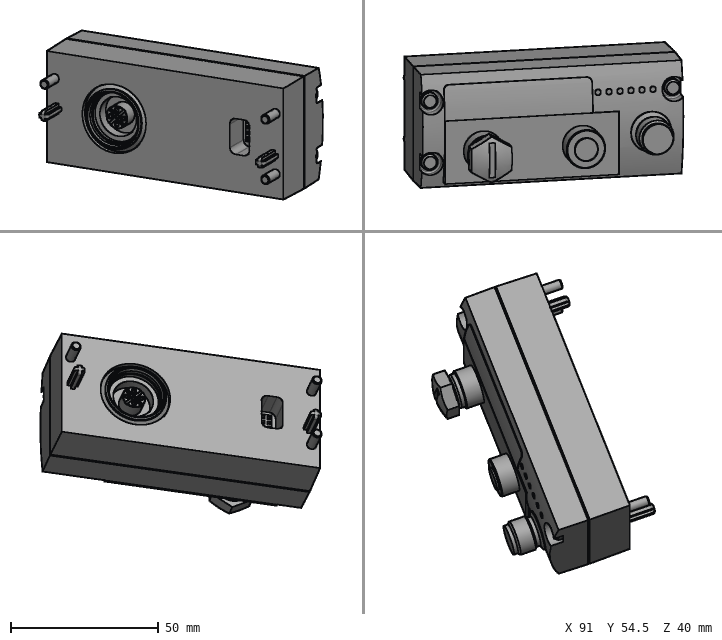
import cadquery as cq
import math

LENGTH = 91.0
HEIGHT = 40.0
MID_Z = HEIGHT / 2
DRAFT_INSET = 0.23
BASE_DEPTH = 14.65
JOINT_GAP = 0.55
JOINT_INSET = 0.5
COVER_START = BASE_DEPTH + JOINT_GAP
COVER_EDGE_Y = 25.8
COVER_CROWN_Y = 29.0

SCREW_EDGE = 3.3
SCREW_UPPER_Z = 30.5
SCREW_LOWER_Z = 9.0
SCREW_PLACES = [
    (SCREW_EDGE, SCREW_UPPER_Z),
    (LENGTH - SCREW_EDGE, SCREW_UPPER_Z),
    (LENGTH - SCREW_EDGE, SCREW_LOWER_Z),
]
SHANK_D = 3.3
SHANK_REACH = 7.8
SHANK_CHAMFER = 0.4
HEAD_D = 5.6
HEAD_RIM = 1.55
HEAD_HEIGHT = 2.5
HEAD_TOP_D = 4.4
COUNTERBORE_D = 8.3
COUNTERBORE_Y = 24.1
COUNTERBORE_FILLET = 0.55

KEY_PLACES = [(4.0, 19.9), (86.8, 15.5)]
KEY_D = 3.8
KEY_ARM = 1.5
KEY_REACH = 10.1
KEY_TIP_FILLET = 1.1

PORT_X, PORT_Z = 26.0, 19.5
GROOVE_R = 12.2
GROOVE_DEPTH = 1.8
LIP_ROOT_R = 10.65
LIP_TIP_R = 10.0
LIP_CHAMFER = 0.4
LIP_TIP_FLAT = 0.4
LIP_HEIGHT = 1.1
LIP_MOUTH_R = 9.3
MOUTH_DEPTH = 1.4
SEAT_R = 8.8
SEAT_DEPTH = 2.9
PORT_BORE_D = 14.0
PORT_BORE_DEPTH = 7.3
INSERT_D = 8.0
INSERT_DEPTH = 1.8
CONTACT_D = 1.0
CONTACT_SINK_D = 1.6
CONTACT_SINK_DEPTH = 0.3
CONTACT_DEPTH = 2.7
CONTACT_PITCH_R = 2.55
INSERT_SLOT_W = 0.9
INSERT_SLOT_DEPTH = 0.5
INSERT_CENTRE_W = 2.55
INSERT_CHAMFER = 0.2

POCKET_X = 74.0
POCKET_W, POCKET_H = 7.5, 12.7
POCKET_CORNER = 2.2
POCKET_DEPTH = 10.0
HEADER_W, HEADER_H = 4.0, 8.2
HEADER_TALL = 1.8
HEADER_COLUMNS, HEADER_ROWS = 2, 4
HEADER_PITCH = 2.0
HEADER_SOCKET = 1.0
HEADER_SOCKET_DEPTH = 1.4

PAD_LEFT, PAD_RIGHT = 22.7, 83.2
PAD_BOTTOM, PAD_TOP = 2.0, 24.0
PAD_Y = 29.3
PAD_STEP = 0.3
PAD_STEP_Y = 28.4
LABEL_LEFT = 31.7
LABEL_TOP = 36.1
LABEL_THICKNESS = 0.3
LABEL_CORNER = 1.8
LED_COUNT = 6
LED_FIRST_X = 10.65
LED_PITCH = 3.8
LED_Z = 30.85
LED_D = 2.0
LED_PROUD = 0.2

PLUG_X, PLUG_Z = 11.5, 16.3
PLUG_FLANGE_D = 14.0
PLUG_BODY_D = 10.5
PLUG_COLLAR_D = 12.0
PLUG_FLANGE_Y = 29.3
PLUG_NECK_Y = 30.0
PLUG_COLLAR_LOW_Y = 31.5
PLUG_COLLAR_START_Y = 32.1
PLUG_COLLAR_END_Y = 37.5
PLUG_COLLAR_HIGH_Y = 38.2
PLUG_TOP_Y = 39.7

BOSS_D = 13.5
BOSS_Y = 35.7
BOSS_CHAMFER = 0.3
BOSS_Z = 13.1
SOCKET_X = 35.6
SOCKET_FACE_Y = 36.4

CAP_X = 70.0
CAP_THREAD_D = 12.0
CAP_NECK_D = 11.3
CAP_THREAD_Y = 37.1
CAP_TAPER_Y = 37.9
HEX_START_Y = 38.4
HEX_FLATS = 14.0
HEX_CORNERS = HEX_FLATS / math.cos(math.radians(30))
HEX_EDGE_Y = 42.6
CAP_TOP_Y = 44.4
CAP_SLOT_W = 2.0
CAP_SLOT_DEPTH = 1.0


def arc_radius(half_chord, rise):
    """Radius of an arc from half its chord and its rise."""
    return (half_chord ** 2 + rise ** 2) / (2 * rise)


CROWN_R = arc_radius(MID_Z - DRAFT_INSET, COVER_CROWN_Y - COVER_EDGE_Y)


def crown_y(z):
    """Height of the crowned back at a given Z."""
    return COVER_CROWN_Y - CROWN_R + math.sqrt(CROWN_R ** 2 - (z - MID_Z) ** 2)


def plane_y(y, x, z):
    """Plane looking along +Y: local x is X, local y is -Z."""
    return cq.Plane(origin=(x, y, z), xDir=(1, 0, 0), normal=(0, 1, 0))


def rod(x, z, diameter, start, end):
    """Cylinder along Y."""
    return cq.Workplane(plane_y(start, x, z)).circle(diameter / 2).extrude(end - start)


def block(x0, x1, y0, y1, z0, z1):
    return cq.Workplane("XY").box(x1 - x0, y1 - y0, z1 - z0, centered=False).translate((x0, y0, z0))


def turned(x, z, profile):
    """Revolve (radius, y) points around a Y axis through (x, z)."""
    return cq.Workplane("XY").polyline(profile).close().revolve(360, (0, 0), (0, 1)).translate((x, 0, z))


def drafted_block(wide_y, narrow_y):
    """Housing block that narrows by the draft inset from wide_y to narrow_y."""
    inset = 2 * DRAFT_INSET
    return (
        cq.Workplane(plane_y(wide_y, LENGTH / 2, MID_Z))
        .rect(LENGTH, HEIGHT)
        .workplane(offset=narrow_y - wide_y)
        .rect(LENGTH - inset, HEIGHT - inset)
        .loft(combine=True)
    )


def make_screw(x, z):
    shank_r = SHANK_D / 2
    return turned(x, z, [
        (0, -SHANK_REACH),
        (shank_r - SHANK_CHAMFER, -SHANK_REACH),
        (shank_r, SHANK_CHAMFER - SHANK_REACH),
        (shank_r, COUNTERBORE_Y),
        (HEAD_D / 2, COUNTERBORE_Y),
        (HEAD_D / 2, COUNTERBORE_Y + HEAD_RIM),
        (HEAD_TOP_D / 2, COUNTERBORE_Y + HEAD_HEIGHT),
        (0, COUNTERBORE_Y + HEAD_HEIGHT),
    ])


def make_key(x, z):
    half, arm = KEY_D / 2, KEY_ARM / 2
    key = rod(x, z, KEY_D, -KEY_REACH, 0).faces("<Y").edges().fillet(KEY_TIP_FILLET)
    upright = block(x - arm, x + arm, -KEY_REACH, 0, z - half, z + half)
    level = block(x - half, x + half, -KEY_REACH, 0, z - arm, z + arm)
    return key.intersect(upright.union(level))


def make_port_recess():
    """Ring groove with a tapered inner wall, stepped seat and deep bore."""
    bore_r = PORT_BORE_D / 2
    groove = turned(PORT_X, PORT_Z, [(LIP_ROOT_R, 0), (GROOVE_R, 0), (GROOVE_R, GROOVE_DEPTH)])
    bore = turned(PORT_X, PORT_Z, [
        (0, 0), (LIP_MOUTH_R, 0), (LIP_MOUTH_R, MOUTH_DEPTH), (SEAT_R, MOUTH_DEPTH),
        (SEAT_R, SEAT_DEPTH), (bore_r, SEAT_DEPTH), (bore_r, PORT_BORE_DEPTH), (0, PORT_BORE_DEPTH),
    ])
    return groove.union(bore)


def make_port_lip():
    return turned(PORT_X, PORT_Z, [
        (LIP_MOUTH_R, 0), (LIP_ROOT_R, 0), (LIP_ROOT_R, LIP_CHAMFER - LIP_HEIGHT),
        (LIP_TIP_R, -LIP_HEIGHT), (LIP_TIP_R - LIP_TIP_FLAT, -LIP_HEIGHT),
    ])


def make_contact_hole(x, z, face_y):
    """Countersunk contact socket entering from face_y."""
    sink_r, hole_r = CONTACT_SINK_D / 2, CONTACT_D / 2
    return turned(x, z, [
        (0, face_y), (sink_r, face_y), (hole_r, face_y + CONTACT_SINK_DEPTH),
        (hole_r, face_y + CONTACT_DEPTH), (0, face_y + CONTACT_DEPTH),
    ])


def make_port_insert():
    """Five-contact insert with diagonal slots between the outer contacts."""
    insert = rod(PORT_X, PORT_Z, INSERT_D, INSERT_DEPTH, PORT_BORE_DEPTH)
    insert = insert.faces("<Y").chamfer(INSERT_CHAMFER)
    face = cq.Workplane(plane_y(INSERT_DEPTH, PORT_X, PORT_Z))
    slot = face.rect(INSERT_D, INSERT_SLOT_W).extrude(INSERT_SLOT_DEPTH)
    insert = insert.cut(face.rect(INSERT_CENTRE_W, INSERT_CENTRE_W).extrude(INSERT_SLOT_DEPTH))
    axis_start, axis_end = (PORT_X, 0, PORT_Z), (PORT_X, 1, PORT_Z)
    for angle in (45, 135):
        insert = insert.cut(slot.rotate(axis_start, axis_end, angle))
    insert = insert.cut(make_contact_hole(PORT_X, PORT_Z, INSERT_DEPTH + INSERT_SLOT_DEPTH))
    for quarter in range(4):
        angle = math.radians(90 * quarter)
        x = PORT_X + CONTACT_PITCH_R * math.cos(angle)
        z = PORT_Z + CONTACT_PITCH_R * math.sin(angle)
        insert = insert.cut(make_contact_hole(x, z, INSERT_DEPTH))
    return insert


def make_header_pocket():
    pocket = cq.Workplane(plane_y(0, POCKET_X, MID_Z)).rect(POCKET_W, POCKET_H).extrude(POCKET_DEPTH)
    return pocket.edges("|Y").fillet(POCKET_CORNER)


def make_header():
    face_y = POCKET_DEPTH - HEADER_TALL
    header = cq.Workplane(plane_y(face_y, POCKET_X, MID_Z)).rect(HEADER_W, HEADER_H).extrude(HEADER_TALL)
    sockets = (
        cq.Workplane(plane_y(face_y, POCKET_X, MID_Z))
        .rarray(HEADER_PITCH, HEADER_PITCH, HEADER_COLUMNS, HEADER_ROWS)
        .rect(HEADER_SOCKET, HEADER_SOCKET)
        .extrude(HEADER_SOCKET_DEPTH)
    )
    return header.cut(sockets)


def make_base():
    base = drafted_block(BASE_DEPTH, 0)
    joint = block(JOINT_INSET, LENGTH - JOINT_INSET, BASE_DEPTH, COVER_START,
                  JOINT_INSET, HEIGHT - JOINT_INSET)
    base = base.union(joint)
    base = base.cut(make_port_recess()).union(make_port_lip()).union(make_port_insert())
    base = base.cut(make_header_pocket()).union(make_header())
    for x, z in KEY_PLACES:
        base = base.union(make_key(x, z))
    for x, z in SCREW_PLACES:
        base = base.cut(rod(x, z, SHANK_D, 0, COVER_START))
    return base


def crown_prism(x0, x1, lift):
    """Prism along X under the crowned back, raised by lift."""
    return (
        cq.Workplane("YZ", origin=(x0, 0, 0))
        .moveTo(COVER_START, 0)
        .lineTo(crown_y(0) + lift, 0)
        .threePointArc((COVER_CROWN_Y + lift, MID_Z), (crown_y(HEIGHT) + lift, HEIGHT))
        .lineTo(COVER_START, HEIGHT)
        .close()
        .extrude(x1 - x0)
    )


def make_raised_areas():
    pad = block(PAD_LEFT, PAD_RIGHT, COVER_START, PAD_Y, PAD_BOTTOM, PAD_TOP)
    ledge = block(PAD_LEFT - PAD_STEP, PAD_LEFT, COVER_START, PAD_STEP_Y, PAD_BOTTOM, PAD_TOP)
    label_area = block(LABEL_LEFT, PAD_RIGHT, COVER_START, PAD_Y, PAD_TOP, LABEL_TOP)
    label_area = label_area.faces(">Z").edges("|Y").fillet(LABEL_CORNER)
    return pad.union(ledge).union(crown_prism(LABEL_LEFT, PAD_RIGHT, LABEL_THICKNESS).intersect(label_area))


def make_plug():
    flange_r, body_r, collar_r = PLUG_FLANGE_D / 2, PLUG_BODY_D / 2, PLUG_COLLAR_D / 2
    return turned(PLUG_X, PLUG_Z, [
        (0, COVER_START), (flange_r, COVER_START), (flange_r, PLUG_FLANGE_Y),
        (body_r, PLUG_NECK_Y), (body_r, PLUG_COLLAR_LOW_Y),
        (collar_r, PLUG_COLLAR_START_Y), (collar_r, PLUG_COLLAR_END_Y),
        (body_r, PLUG_COLLAR_HIGH_Y), (body_r, PLUG_TOP_Y), (0, PLUG_TOP_Y),
    ])


def make_socket():
    boss = rod(SOCKET_X, BOSS_Z, BOSS_D, COVER_START, BOSS_Y).faces(">Y").chamfer(BOSS_CHAMFER)
    return boss.union(rod(SOCKET_X, BOSS_Z, INSERT_D, BOSS_Y, SOCKET_FACE_Y))


def dome_drop(radius):
    """Fall of the domed cap below its top at a given radius."""
    dome_r = arc_radius(HEX_CORNERS / 2, CAP_TOP_Y - HEX_EDGE_Y)
    return dome_r - math.sqrt(dome_r ** 2 - radius ** 2)


def make_cap():
    """Boss closed by a domed hexagon cap with a screwdriver slot."""
    boss_r, thread_r, neck_r = BOSS_D / 2, CAP_THREAD_D / 2, CAP_NECK_D / 2
    stem = turned(CAP_X, BOSS_Z, [
        (0, COVER_START), (boss_r, COVER_START), (boss_r, BOSS_Y - BOSS_CHAMFER),
        (boss_r - BOSS_CHAMFER, BOSS_Y), (thread_r, BOSS_Y),
        (thread_r, CAP_THREAD_Y), (neck_r, CAP_TAPER_Y), (neck_r, HEX_START_Y), (0, HEX_START_Y),
    ])
    hexagon = (
        cq.Workplane(plane_y(HEX_START_Y, CAP_X, BOSS_Z))
        .transformed(rotate=(0, 0, 30))
        .polygon(6, HEX_CORNERS)
        .extrude(CAP_TOP_Y - HEX_START_Y)
    )
    dome = (
        cq.Workplane("XY")
        .moveTo(0, HEX_START_Y)
        .lineTo(HEX_CORNERS, HEX_START_Y)
        .lineTo(HEX_CORNERS, CAP_TOP_Y - dome_drop(HEX_CORNERS))
        .threePointArc((HEX_CORNERS / 2, HEX_EDGE_Y), (0, CAP_TOP_Y))
        .close()
        .revolve(360, (0, 0), (0, 1))
        .translate((CAP_X, 0, BOSS_Z))
    )
    reach = HEX_CORNERS / 2
    slot = block(CAP_X - CAP_SLOT_W / 2, CAP_X + CAP_SLOT_W / 2, CAP_TOP_Y - CAP_SLOT_DEPTH, CAP_TOP_Y,
                 BOSS_Z - reach, BOSS_Z + reach)
    return stem.union(hexagon.intersect(dome).cut(slot))


def make_cover():
    cover = drafted_block(COVER_START, COVER_CROWN_Y).intersect(crown_prism(0, LENGTH, 0))
    cover = cover.union(make_raised_areas())
    for index in range(LED_COUNT):
        led_x = LED_FIRST_X + index * LED_PITCH
        cover = cover.union(rod(led_x, LED_Z, LED_D, COVER_START, crown_y(LED_Z) + LED_PROUD))
    cover = cover.union(make_plug()).union(make_socket()).union(make_cap())
    for x, z in SCREW_PLACES:
        cover = cover.cut(rod(x, z, SHANK_D, COVER_START, COUNTERBORE_Y))
        counterbore = rod(x, z, COUNTERBORE_D, COUNTERBORE_Y, PAD_Y)
        cover = cover.cut(counterbore.faces("<Y").edges().fillet(COUNTERBORE_FILLET))
    return cover


base = make_base()
cover = make_cover()
screws = [make_screw(x, z) for x, z in SCREW_PLACES]

result = cq.Compound.makeCompound([base.val(), cover.val(), *[screw.val() for screw in screws]])